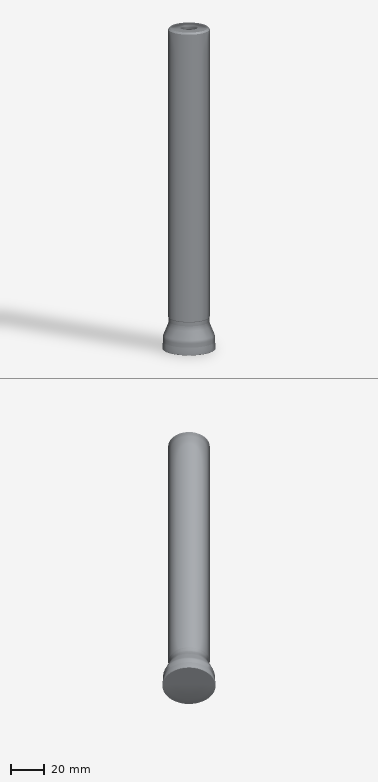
import cadquery as cq
import math

total_length = 200.0

shank_diameter = 25.0
shank_bottom = 19.6
shank_chamfer = 1.0
shank_foot_chamfer_height = 0.5

bore_diameter = 8.0
bore_depth = 20.0
drill_point_angle = 118.0
mouth_diameter = 10.5
mouth_depth = 2.0

neck_diameter = 24.6
collar_diameter = 31.2
neck_bottom = 17.2
cone_top = 14.8
cone_bottom = 9.2
collar_top = 7.5
cone_top_diameter = 25.8
cone_bottom_diameter = 30.5

band_diameter = 32.0
band_height = 4.8
facet_count = 9
foot_chamfer = 0.2


def make_shank():
    """Plain round bar with chamfered rims and a blind hole."""
    bar = (
        cq.Workplane("XY", origin=(0, 0, shank_bottom))
        .circle(shank_diameter / 2)
        .extrude(total_length - shank_bottom)
        .faces(">Z")
        .chamfer(shank_chamfer)
        .faces("<Z")
        .chamfer(shank_foot_chamfer_height, (shank_diameter - neck_diameter) / 2)
    )
    return bar.cut(make_bore())


def make_bore():
    """Drilled hole with a conical point and a countersunk mouth."""
    bore_radius = bore_diameter / 2
    point_depth = bore_radius / math.tan(math.radians(drill_point_angle / 2))
    bore_bottom = total_length - bore_depth
    return (
        cq.Workplane("XZ")
        .moveTo(0, bore_bottom - point_depth)
        .lineTo(bore_radius, bore_bottom)
        .lineTo(bore_radius, total_length - mouth_depth)
        .lineTo(mouth_diameter / 2, total_length)
        .lineTo(0, total_length)
        .close()
        .revolve(360, (0, 0, 0), (0, 1, 0))
    )


def make_head():
    """Flared head: neck, cone blended at both ends, collar and faceted band."""
    neck_radius = neck_diameter / 2
    collar_radius = collar_diameter / 2
    cone_top_point = (cone_top_diameter / 2, cone_top)
    cone_bottom_point = (cone_bottom_diameter / 2, cone_bottom)
    return (
        cq.Workplane("XZ")
        .polyline(band_outline(), includeCurrent=True)
        .lineTo(collar_radius, collar_top)
        .tangentArcPoint(cone_bottom_point, relative=False)
        .lineTo(*cone_top_point)
        .tangentArcPoint((neck_radius, neck_bottom), relative=False)
        .lineTo(neck_radius, shank_bottom)
        .lineTo(0, shank_bottom)
        .close()
        .revolve(360, (0, 0, 0), (0, 1, 0))
        .faces("<Z")
        .chamfer(foot_chamfer)
    )


def band_outline():
    """Half outline of the band from bottom to top, straight facets along a cosine curve."""
    collar_radius = collar_diameter / 2
    flare = band_diameter / 2 - collar_radius
    points = []
    for index in range(facet_count + 1):
        fraction = index / facet_count
        radius = collar_radius + flare * math.cos(fraction * math.pi / 2)
        points.append((radius, fraction * band_height))
    return points


shank = make_shank()
head = make_head()

result = cq.Compound.makeCompound([shank.val(), head.val()])